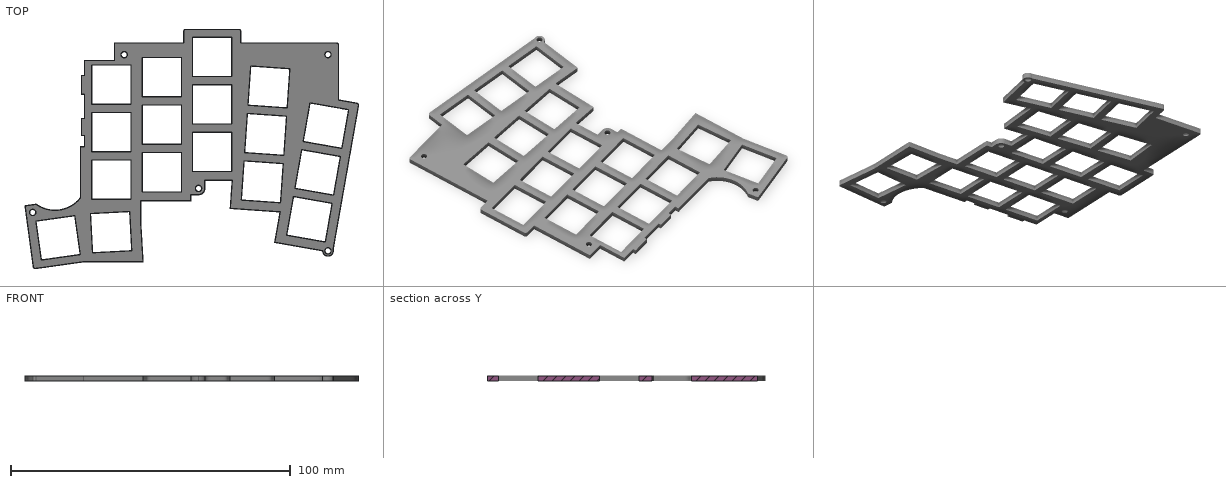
import cadquery as cq
import math


thickness = 1.9
key_opening = 14.0
hole_diameter = 2.1
corner_radius = 0.8

column_pitch = 18.0
column_span = 34.0
row_pitch = column_span / 2
key_clearance = 3.8

inner_x = 30.9
middle_x = inner_x + 2 * column_pitch
inner_column = (inner_x, 48.8, 0)
second_column = (inner_x + column_pitch, 51.4, 0)
middle_column = (middle_x, 58.7, 0)
fourth_column = (86.0, 48.0, -4)
outer_column = (104.6, 34.4, -10)
columns = [inner_column, second_column, middle_column, fourth_column, outer_column]

outer_thumb = (11.8, 11.0, 8)
inner_thumb = (30.8, 13.0, 3)
thumbs = [outer_thumb, inner_thumb]

upper_hole_y = 76.5
right_hole_x = 108.3
upper_left_hole = (35.4, upper_hole_y)
upper_right_hole = (right_hole_x, upper_hole_y)
center_hole = (62.0, 28.6)
thumb_hole = (2.7, 20.0)
lower_right_hole = (right_hole_x, 6.3)
screw_holes = [upper_left_hole, upper_right_hole, center_hole, thumb_hole, lower_right_hole]

top_y = 85.5
shoulder_y = 80.6
inner_step_y = 74.4
shoulder_left_x = 32.0
shoulder_right_x = 112.1
middle_half_width = 10.3

left_edge_x = 21.2
tab_depth = 1.1
tab_spans = [(62.3, 69.1), (47.5, 53.7)]
lower_left_x = 19.8
lower_left_step_y = 43.5

thumb_upper_left = 10.1
thumb_lower_left = 10.3
thumb_top = 13.0
thumb_bottom = 9.8
thumb_bottom_y = 2.4
thumb_right_x = 41.4
thumb_right_bend_y = 16.5
thumb_right_bottom_x = 42.2

scoop_start = (3.9, 23.0)
scoop_middle = (10.0, 20.9)
scoop_end_y = 25.3

second_column_bottom_y = 24.2
middle_bottom_y = 31.5
pad_left_x = 59.3
pad_radius = 2.3
boss_radius = 1.9

rotated_side = key_opening / 2 + key_clearance
rotated_bottom = 27.3
fourth_top = 23.9
outer_right = 10.3
outer_top = 26.8
infill_bottom_y = 51.3


def place(frame, along, up):
    """Point at an offset from a key centre, in the direction of that key."""
    x, y, angle = frame
    turn = math.radians(angle)
    return (
        x + along * math.cos(turn) - up * math.sin(turn),
        y + along * math.sin(turn) + up * math.cos(turn),
    )


def plate(left, right, bottom, top, frame=(0, 0, 0)):
    """Rectangular sheet with its sides at offsets from a key centre."""
    corners = [(left, bottom), (right, bottom), (right, top), (left, top)]
    points = [place(frame, along, up) for along, up in corners]
    return cq.Workplane("XY").polyline(points).close().extrude(thickness)


def discs(centers, radius):
    return cq.Workplane("XY").pushPoints(centers).circle(radius).extrude(thickness)


def round_corner(body, point):
    """Round the upright edge nearest to a point."""
    edge = cq.selectors.NearestToPointSelector((point[0], point[1], thickness / 2))
    return body.edges("|Z").edges(edge).fillet(corner_radius)


def main_sheet():
    """Columns one to three, the upper right area and the thumb cluster."""
    middle_left_x = middle_x - middle_half_width
    middle_right_x = middle_x + middle_half_width
    pad_right_x = center_hole[0] + pad_radius
    pad_bottom_y = center_hole[1] - pad_radius
    diagonal = pad_radius * math.sqrt(0.5)
    pad_arc_middle = (center_hole[0] + diagonal, center_hole[1] - diagonal)

    thumb_corner = place(outer_thumb, -thumb_lower_left, -thumb_bottom)
    slope = math.tan(math.radians(outer_thumb[2]))
    thumb_bend_x = thumb_corner[0] + (thumb_bottom_y - thumb_corner[1]) / slope

    outline = (
        cq.Workplane("XY")
        .moveTo(left_edge_x, inner_step_y)
        .lineTo(shoulder_left_x, inner_step_y)
        .lineTo(shoulder_left_x, shoulder_y)
        .lineTo(middle_left_x, shoulder_y)
        .lineTo(middle_left_x, top_y)
        .lineTo(middle_right_x, top_y)
        .lineTo(middle_right_x, shoulder_y)
        .lineTo(shoulder_right_x, shoulder_y)
        .lineTo(shoulder_right_x, infill_bottom_y)
        .lineTo(middle_right_x, infill_bottom_y)
        .lineTo(middle_right_x, middle_bottom_y)
        .lineTo(pad_right_x, middle_bottom_y)
        .lineTo(pad_right_x, center_hole[1])
        .threePointArc(pad_arc_middle, (center_hole[0], pad_bottom_y))
        .lineTo(pad_left_x, pad_bottom_y)
        .lineTo(pad_left_x, second_column_bottom_y)
        .lineTo(thumb_right_x, second_column_bottom_y)
        .lineTo(thumb_right_x, thumb_right_bend_y)
        .lineTo(thumb_right_bottom_x, thumb_bottom_y)
        .lineTo(thumb_bend_x, thumb_bottom_y)
        .lineTo(*thumb_corner)
        .lineTo(*place(outer_thumb, -thumb_upper_left, thumb_top))
        .lineTo(*scoop_start)
        .threePointArc(scoop_middle, (lower_left_x, scoop_end_y))
        .lineTo(lower_left_x, lower_left_step_y)
        .lineTo(left_edge_x, lower_left_step_y)
        .close()
    )
    sheet = outline.extrude(thickness)
    rounded = [
        (middle_left_x, top_y),
        (middle_right_x, top_y),
        (shoulder_right_x, shoulder_y),
        thumb_corner,
    ]
    for point in rounded:
        sheet = round_corner(sheet, point)
    return sheet


def left_tabs():
    tabs = cq.Workplane("XY")
    for bottom, top in tab_spans:
        tabs = tabs.union(plate(left_edge_x - tab_depth, left_edge_x, bottom, top))
    return tabs


def fourth_column_plate():
    return plate(-rotated_side, rotated_side, -rotated_bottom, fourth_top, fourth_column)


def outer_column_plate():
    body = plate(-rotated_side, outer_right, -rotated_bottom, outer_top, outer_column)
    body = round_corner(body, place(outer_column, outer_right, outer_top))
    return body.union(discs([lower_right_hole], boss_radius))


def key_cutters():
    frames = list(thumbs)
    for column in columns:
        for row in (-1, 0, 1):
            frames.append((*place(column, 0, row * row_pitch), column[2]))
    half = key_opening / 2
    cutters = cq.Workplane("XY")
    for frame in frames:
        cutters = cutters.union(plate(-half, half, -half, half, frame))
    return cutters


result = (
    main_sheet()
    .union(left_tabs())
    .union(fourth_column_plate())
    .union(outer_column_plate())
    .cut(key_cutters())
    .cut(discs(screw_holes, hole_diameter / 2))
)